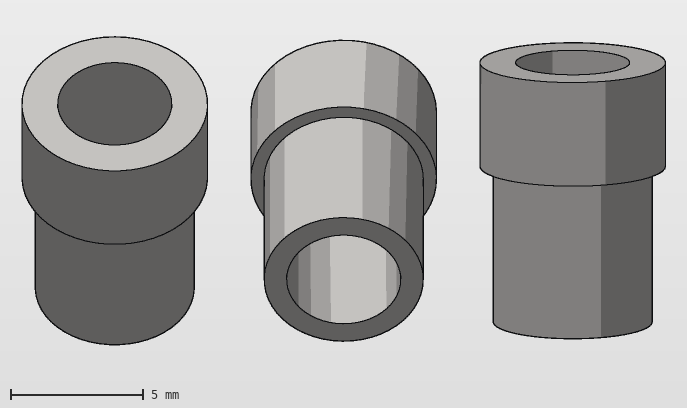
import cadquery as cq

total_height = 10.0
head_height = 4.0
head_diameter = 7.0
shank_diameter = 6.0
bore_diameter = 4.3

shank_height = total_height - head_height

shank = cq.Workplane("XY").circle(shank_diameter / 2).extrude(shank_height)

head = (
    cq.Workplane("XY")
    .workplane(offset=shank_height)
    .circle(head_diameter / 2)
    .extrude(head_height)
)

bore = cq.Workplane("XY").circle(bore_diameter / 2).extrude(total_height)

result = shank.union(head).cut(bore)